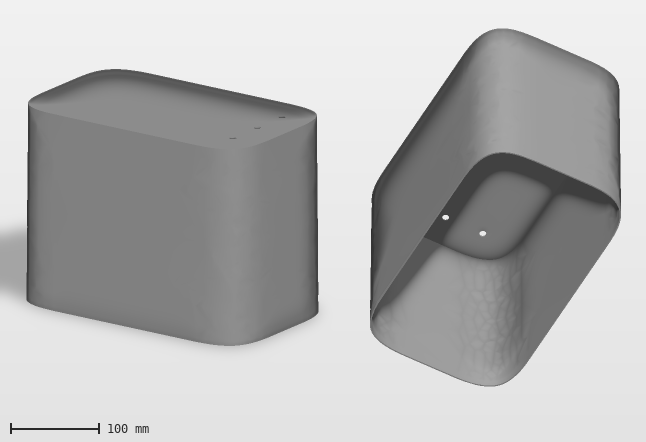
import math

import cadquery as cq

LENGTH = 313.0
WIDTH = 189.01
HEIGHT = 231.35
BAND_HEIGHT = 4.5
DRAFT_ANGLE = 0.5
WALL = 1.5

CORNER_RUN = 62.0
CORNER_CUT = 13.3

HOLE_DIAMETER = 8.0
HOLE_X = 117.0
HOLE_SPACING = 47.5
HOLE_COUNT = 3

DIAGONAL = math.sqrt(0.5)
TOP_INSET = (HEIGHT - BAND_HEIGHT) * math.tan(math.radians(DRAFT_ANGLE))


def soft_rectangle(workplane, inset):
    """Draw the base outline, moved inward, as one smooth closed curve."""
    half_x = LENGTH / 2
    half_y = WIDTH / 2
    flat_x = half_x - CORNER_RUN
    flat_y = half_y - CORNER_RUN
    middle_x = half_x - CORNER_CUT
    middle_y = half_y - CORNER_CUT

    stations = [
        ((-half_x, flat_y), (-1, 0)),
        ((-middle_x, middle_y), (-DIAGONAL, DIAGONAL)),
        ((-flat_x, half_y), (0, 1)),
        ((flat_x, half_y), (0, 1)),
        ((middle_x, middle_y), (DIAGONAL, DIAGONAL)),
        ((half_x, flat_y), (1, 0)),
        ((half_x, -flat_y), (1, 0)),
        ((middle_x, -middle_y), (DIAGONAL, -DIAGONAL)),
        ((flat_x, -half_y), (0, -1)),
        ((-flat_x, -half_y), (0, -1)),
        ((-middle_x, -middle_y), (-DIAGONAL, -DIAGONAL)),
        ((-half_x, -flat_y), (-1, 0)),
    ]
    points = [(x - inset * out_x, y - inset * out_y) for (x, y), (out_x, out_y) in stations]
    tangents = [(out_y, -out_x) for _, (out_x, out_y) in stations]
    return workplane.spline(points, tangents=tangents, periodic=True).close()


def drafted_block(inset, height):
    """Upright band with a drafted body on it, both moved inward by the inset."""
    band = soft_rectangle(cq.Workplane("XY"), inset).extrude(BAND_HEIGHT)
    lower = soft_rectangle(cq.Workplane("XY").workplane(offset=BAND_HEIGHT), inset)
    upper = lower.workplane(offset=height - BAND_HEIGHT)
    body = soft_rectangle(upper, inset + TOP_INSET).loft(ruled=True)
    return band.union(body)


def hole_row():
    first_y = -(HOLE_COUNT - 1) / 2 * HOLE_SPACING
    centres = [(HOLE_X, first_y + index * HOLE_SPACING) for index in range(HOLE_COUNT)]
    return cq.Workplane("XY").pushPoints(centres).circle(HOLE_DIAMETER / 2).extrude(HEIGHT)


outer = drafted_block(0, HEIGHT)
cavity = drafted_block(WALL, HEIGHT - WALL)
result = outer.cut(cavity).cut(hole_row())